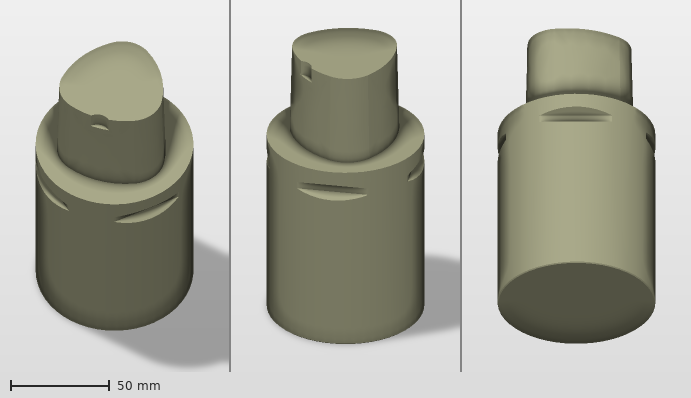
import cadquery as cq
import math

BODY_DIAMETER = 80.0
BODY_LENGTH = 100.0
BASE_CHAMFER = 0.5

SHANK_LENGTH = 48.0
SHANK_TAPER = 1 / 20
LOBE_REACH = 29.5
SIDE_REACH = 25.5
LOBE_RADIUS = 17.0
LOBE_COUNT = 3
FIRST_LOBE_ANGLE = 90.0

NOTCH_RADIUS = 6.5
NOTCH_FLOOR_REACH = 22.1
NOTCH_LENGTH = 8.0

GROOVE_COUNT = 4
FIRST_GROOVE_ANGLE = 45.0
GROOVE_FLOOR_REACH = 35.5
GROOVE_FLOOR_WIDTH = 3.6
GROOVE_FLANK_ANGLE = 30.0
GROOVE_HEIGHT = 88.0

BODY_RADIUS = BODY_DIAMETER / 2
TOTAL_LENGTH = BODY_LENGTH + SHANK_LENGTH


def polar(radius, degrees):
    """Point at a distance and direction from the axis."""
    angle = math.radians(degrees)
    return radius * math.cos(angle), radius * math.sin(angle)


def make_body():
    body = cq.Workplane("XY").circle(BODY_RADIUS).extrude(BODY_LENGTH)
    return body.faces("<Z").edges().chamfer(BASE_CHAMFER)


def make_shank():
    """Lobe arcs joined by tangent side arcs, drawn in towards the top."""
    lobe_pitch = 360 / LOBE_COUNT
    lobe_offset = LOBE_REACH - LOBE_RADIUS
    side_cos = math.cos(math.radians(lobe_pitch / 2))
    side_radius = (
        SIDE_REACH**2 + lobe_offset**2 - 2 * side_cos * SIDE_REACH * lobe_offset - LOBE_RADIUS**2
    ) / (2 * (SIDE_REACH - side_cos * lobe_offset - LOBE_RADIUS))
    side_offset = side_radius - SIDE_REACH
    joint_angle = math.degrees(
        math.atan2(
            side_offset * math.sin(math.radians(lobe_pitch / 2)),
            lobe_offset + side_offset * side_cos,
        )
    )

    def joint(lobe_angle, side):
        """Point where a lobe arc meets the side arc before (-1) or after (+1) it."""
        center_x, center_y = polar(lobe_offset, lobe_angle)
        reach_x, reach_y = polar(LOBE_RADIUS, lobe_angle + side * joint_angle)
        return center_x + reach_x, center_y + reach_y

    outline = cq.Workplane("XY").workplane(offset=BODY_LENGTH).moveTo(*joint(FIRST_LOBE_ANGLE, -1))
    for index in range(LOBE_COUNT):
        lobe_angle = FIRST_LOBE_ANGLE + index * lobe_pitch
        lobe_tip = polar(LOBE_REACH, lobe_angle)
        side_middle = polar(SIDE_REACH, lobe_angle + lobe_pitch / 2)
        outline = outline.threePointArc(lobe_tip, joint(lobe_angle, 1))
        outline = outline.threePointArc(side_middle, joint(lobe_angle + lobe_pitch, -1))
    wall_angle = math.degrees(math.atan(SHANK_TAPER / 2))
    return outline.close().extrude(SHANK_LENGTH, taper=wall_angle)


def make_notch():
    return (
        cq.Workplane("XY")
        .workplane(offset=TOTAL_LENGTH - NOTCH_LENGTH)
        .center(0, -NOTCH_FLOOR_REACH - NOTCH_RADIUS)
        .circle(NOTCH_RADIUS)
        .extrude(NOTCH_LENGTH)
    )


def make_groove(angle):
    """Trapezoidal cutter that runs straight across the body on one side."""
    depth = BODY_RADIUS - GROOVE_FLOOR_REACH
    half_floor = GROOVE_FLOOR_WIDTH / 2
    half_mouth = half_floor + depth * math.tan(math.radians(GROOVE_FLANK_ANGLE))
    profile = [
        (GROOVE_FLOOR_REACH, GROOVE_HEIGHT - half_floor),
        (BODY_RADIUS, GROOVE_HEIGHT - half_mouth),
        (BODY_RADIUS, GROOVE_HEIGHT + half_mouth),
        (GROOVE_FLOOR_REACH, GROOVE_HEIGHT + half_floor),
    ]
    cutter = cq.Workplane("XZ").polyline(profile).close().extrude(BODY_RADIUS, both=True)
    return cutter.rotate((0, 0, 0), (0, 0, 1), angle)


result = make_body().union(make_shank()).cut(make_notch())
for groove_index in range(GROOVE_COUNT):
    groove_angle = FIRST_GROOVE_ANGLE + groove_index * 360 / GROOVE_COUNT
    result = result.cut(make_groove(groove_angle))